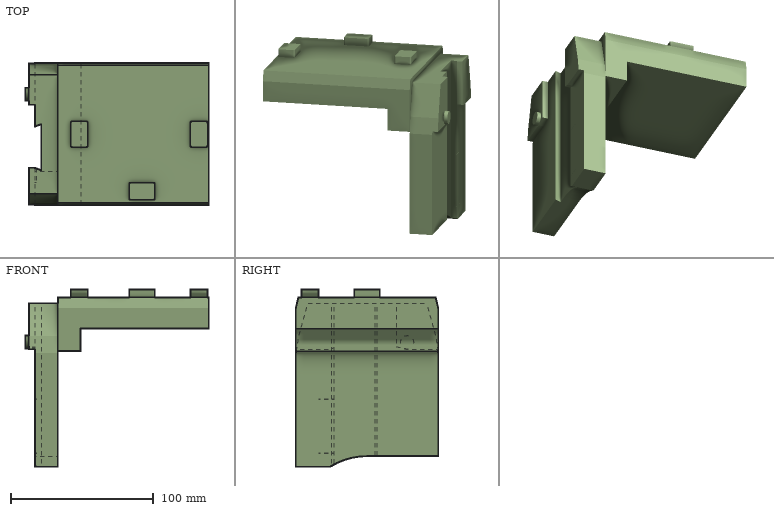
import cadquery as cq
import math

WIDTH = 100.0
HALF_WIDTH = WIDTH / 2

PLATE_LENGTH = 106.0
PLATE_THICKNESS = 22.0
HEEL_LENGTH = 16.0
HEEL_DEPTH = 37.7
PLATE_BEVEL_WIDTH = 1.75
PLATE_BEVEL_HEIGHT = 7.4

PAD_LONG = 18.0
PAD_SHORT = 12.0
PAD_HEIGHT = 5.5
PAD_CORNER_RADIUS = 1.0
CROSS_PAD_X = (15.0, 99.0)
SIDE_PAD_X = 59.0
SIDE_PAD_Y = -40.0

WALL_THICKNESS = 16.2
WALL_TOP_Z = -4.0
WALL_BOTTOM_Z = -119.0
WALL_TOP_HALF_WIDTH = 41.7
TAPER_BREAK_Z = -27.1
TAPER_BREAK_HALF_WIDTH = 48.1
TAPER_END_Z = -38.9

HEAD_THICKNESS = 4.05
HEAD_BOTTOM_Z = -36.6
HEAD_SLOPE_START_Y = 28.2
HEAD_SLOPE = math.tan(math.radians(15))
HEAD_INNER_Y = 20.6

CHANNEL_LEFT_Y = 5.3
CHANNEL_RIGHT_Y = -23.5
CHANNEL_DEPTH = 4.4
CHANNEL_UNDERCUT = 1.65

SHORT_SIDE_Z = -111.5
ARC_START_Y = 0.0
ARC_END_Y = -26.0

SLIT_Z = (-71.3, -109.3)
SLIT_LENGTH = 10.3
SLIT_WIDTH = 0.3
SLIT_DEPTH = 1.0

PIN_DIAMETER = 9.3
PIN_LENGTH = 2.75
PIN_Y = 28.0
PIN_Z = -31.4

HEAD_FACE_X = -WALL_THICKNESS - HEAD_THICKNESS


def extrude_along_x(profile, start_x, length):
    """Extrude a closed (Y, Z) profile in +X; it is drawn on the YZ plane."""
    return profile.extrude(length).translate((start_x, 0, 0))


def make_plate():
    side = (
        cq.Workplane("XZ")
        .polyline([
            (0, 0),
            (PLATE_LENGTH, 0),
            (PLATE_LENGTH, -PLATE_THICKNESS),
            (HEEL_LENGTH, -PLATE_THICKNESS),
            (HEEL_LENGTH, -HEEL_DEPTH),
            (0, -HEEL_DEPTH),
        ])
        .close()
        .extrude(HALF_WIDTH, both=True)
    )
    top_half_width = HALF_WIDTH - PLATE_BEVEL_WIDTH
    end_outline = (
        cq.Workplane("YZ")
        .polyline([
            (-top_half_width, 0),
            (top_half_width, 0),
            (HALF_WIDTH, -PLATE_BEVEL_HEIGHT),
            (HALF_WIDTH, -HEEL_DEPTH),
            (-HALF_WIDTH, -HEEL_DEPTH),
            (-HALF_WIDTH, -PLATE_BEVEL_HEIGHT),
        ])
        .close()
    )
    return side.intersect(extrude_along_x(end_outline, 0, PLATE_LENGTH))


def make_pad(x, y, size_x, size_y):
    return (
        cq.Workplane("XY")
        .center(x, y)
        .rect(size_x, size_y)
        .extrude(PAD_HEIGHT)
        .edges("|Z")
        .fillet(PAD_CORNER_RADIUS)
    )


def make_wall_blank():
    """Full wall and head thickness, with the tapered top and the curved lower edge."""
    arc_run = ARC_START_Y - ARC_END_Y
    arc_drop = SHORT_SIDE_Z - WALL_BOTTOM_Z
    arc_radius = (arc_run**2 + arc_drop**2) / (2 * arc_drop)
    half_angle = math.atan2(arc_drop, arc_run)
    arc_middle = (
        ARC_START_Y - arc_radius * math.sin(half_angle),
        SHORT_SIDE_Z - arc_radius * (1 - math.cos(half_angle)),
    )
    outline = (
        cq.Workplane("YZ")
        .moveTo(WALL_TOP_HALF_WIDTH, WALL_TOP_Z)
        .lineTo(TAPER_BREAK_HALF_WIDTH, TAPER_BREAK_Z)
        .lineTo(HALF_WIDTH, TAPER_END_Z)
        .lineTo(HALF_WIDTH, SHORT_SIDE_Z)
        .lineTo(ARC_START_Y, SHORT_SIDE_Z)
        .threePointArc(arc_middle, (ARC_END_Y, WALL_BOTTOM_Z))
        .lineTo(-HALF_WIDTH, WALL_BOTTOM_Z)
        .lineTo(-HALF_WIDTH, TAPER_END_Z)
        .lineTo(-TAPER_BREAK_HALF_WIDTH, TAPER_BREAK_Z)
        .lineTo(-WALL_TOP_HALF_WIDTH, WALL_TOP_Z)
        .close()
    )
    return extrude_along_x(outline, HEAD_FACE_X, -HEAD_FACE_X)


def make_head_clearance():
    """Outer layer to remove below and between the two head pads."""
    left_rise = (HEAD_SLOPE_START_Y - HEAD_INNER_Y) * HEAD_SLOPE
    right_rise = (HEAD_SLOPE_START_Y + CHANNEL_RIGHT_Y) * HEAD_SLOPE
    outline = (
        cq.Workplane("YZ")
        .polyline([
            (HALF_WIDTH, WALL_BOTTOM_Z),
            (HALF_WIDTH, HEAD_BOTTOM_Z),
            (HEAD_SLOPE_START_Y, HEAD_BOTTOM_Z),
            (HEAD_INNER_Y, HEAD_BOTTOM_Z + left_rise),
            (HEAD_INNER_Y, WALL_TOP_Z),
            (CHANNEL_RIGHT_Y, WALL_TOP_Z),
            (CHANNEL_RIGHT_Y, HEAD_BOTTOM_Z + right_rise),
            (-HEAD_SLOPE_START_Y, HEAD_BOTTOM_Z),
            (-HALF_WIDTH, HEAD_BOTTOM_Z),
            (-HALF_WIDTH, WALL_BOTTOM_Z),
        ])
        .close()
    )
    return extrude_along_x(outline, HEAD_FACE_X, HEAD_THICKNESS)


def make_channel():
    floor_x = -WALL_THICKNESS + CHANNEL_DEPTH
    return (
        cq.Workplane("XY")
        .workplane(offset=WALL_BOTTOM_Z)
        .polyline([
            (-WALL_THICKNESS, CHANNEL_LEFT_Y),
            (floor_x, CHANNEL_LEFT_Y + CHANNEL_UNDERCUT),
            (floor_x, CHANNEL_RIGHT_Y - CHANNEL_UNDERCUT),
            (-WALL_THICKNESS, CHANNEL_RIGHT_Y),
        ])
        .close()
        .extrude(WALL_TOP_Z - WALL_BOTTOM_Z)
    )


def make_slit(z):
    """Cutter for one slit, extended over the channel so that it breaks through the flank."""
    return cq.Workplane("XY").box(
        SLIT_DEPTH,
        SLIT_LENGTH + CHANNEL_UNDERCUT,
        SLIT_WIDTH,
        centered=(False, False, True),
    ).translate((-WALL_THICKNESS, CHANNEL_RIGHT_Y - SLIT_LENGTH, z))


def make_pin():
    outline = cq.Workplane("YZ").center(PIN_Y, PIN_Z).circle(PIN_DIAMETER / 2)
    return extrude_along_x(outline, HEAD_FACE_X - PIN_LENGTH, PIN_LENGTH)


wall = make_wall_blank().cut(make_head_clearance()).cut(make_channel())
for slit_z in SLIT_Z:
    wall = wall.cut(make_slit(slit_z))

result = make_plate().union(wall).union(make_pin())
for pad_x in CROSS_PAD_X:
    result = result.union(make_pad(pad_x, 0, PAD_SHORT, PAD_LONG))
result = result.union(make_pad(SIDE_PAD_X, SIDE_PAD_Y, PAD_LONG, PAD_SHORT))